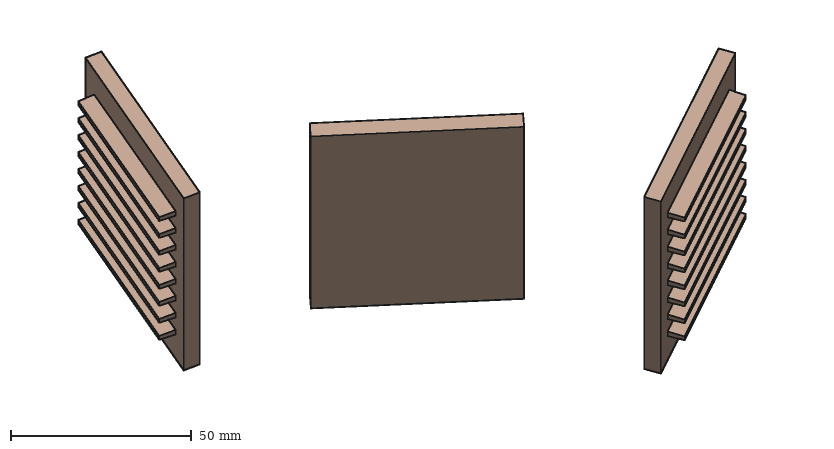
import cadquery as cq
import math

plate_width = 59.17
plate_thickness = 5.0
plate_height = 71.0

rib_count = 8
rib_pitch = 7.0
rib_projection = 5.0
rib_root_length = 48.95
rib_root_thickness = 1.9
rib_draft_angle = 2.0
rib_margin_left = 5.3

rib_taper = rib_projection * math.tan(math.radians(rib_draft_angle))
rib_tip_length = rib_root_length - rib_taper
rib_tip_thickness = rib_root_thickness - 2 * rib_taper

rib_left_x = rib_margin_left - plate_width / 2
lowest_rib_z = -rib_pitch * (rib_count - 1) / 2


def make_plate():
    """Plate centred on X and Z, with its front face on the plane Y = 0."""
    return cq.Workplane("XY").box(
        plate_width, plate_thickness, plate_height, centered=(True, False, True)
    )


def make_rib(center_z):
    """Rib pointing to -Y: square at its -X end, drafted above, below and at its +X end."""
    return (
        cq.Workplane("XZ", origin=(rib_left_x, 0, center_z))
        .center(rib_root_length / 2, 0)
        .rect(rib_root_length, rib_root_thickness)
        .workplane(offset=rib_projection)
        .center(-rib_taper / 2, 0)
        .rect(rib_tip_length, rib_tip_thickness)
        .loft(ruled=True)
    )


result = make_plate()
for rib_index in range(rib_count):
    result = result.union(make_rib(lowest_rib_z + rib_index * rib_pitch))